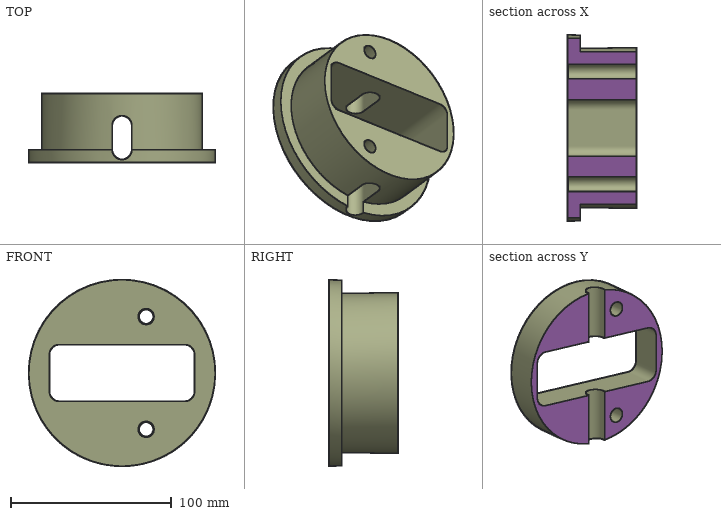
import cadquery as cq

flange_diameter = 116.0
flange_thickness = 8.0
plug_diameter = 100.0
total_depth = 43.0

window_width = 90.0
window_height = 35.0
window_corner_radius = 6.0

hole_diameter = 8.8
hole_chamfer = 0.5
hole_offset_x = 15.0
hole_offset_z = 35.0

slot_width = 12.0
slot_front_y = 2.0
slot_back_y = 29.0


def along_y():
    """Workplane on Y = 0 whose extrusions run towards +Y; local x is +Z and local y is +X."""
    return cq.Workplane(cq.Plane(origin=(0, 0, 0), xDir=(0, 0, 1), normal=(0, 1, 0)))


def make_body():
    flange = along_y().circle(flange_diameter / 2).extrude(flange_thickness)
    plug = along_y().circle(plug_diameter / 2).extrude(total_depth)
    return flange.union(plug)


def make_window():
    block = along_y().rect(window_height, window_width).extrude(total_depth)
    return block.edges("|Y").fillet(window_corner_radius)


def make_hole(x, z):
    """Through hole with a conical chamfer on the flange face."""
    bore = along_y().center(z, x).circle(hole_diameter / 2).extrude(total_depth)
    mouth_radius = hole_diameter / 2 + hole_chamfer
    mouth = cq.Solid.makeCone(
        mouth_radius, hole_diameter / 2, hole_chamfer, pnt=cq.Vector(x, 0, z), dir=cq.Vector(0, 1, 0)
    )
    return bore.union(cq.Workplane(mouth))


def make_slot():
    slot_length = slot_back_y - slot_front_y
    slot_centre_y = (slot_front_y + slot_back_y) / 2
    return (
        cq.Workplane("XY")
        .center(0, slot_centre_y)
        .slot2D(slot_length, slot_width, 90)
        .extrude(flange_diameter / 2, both=True)
    )


result = make_body().cut(make_window()).cut(make_slot())
for side in (1, -1):
    result = result.cut(make_hole(hole_offset_x, side * hole_offset_z))